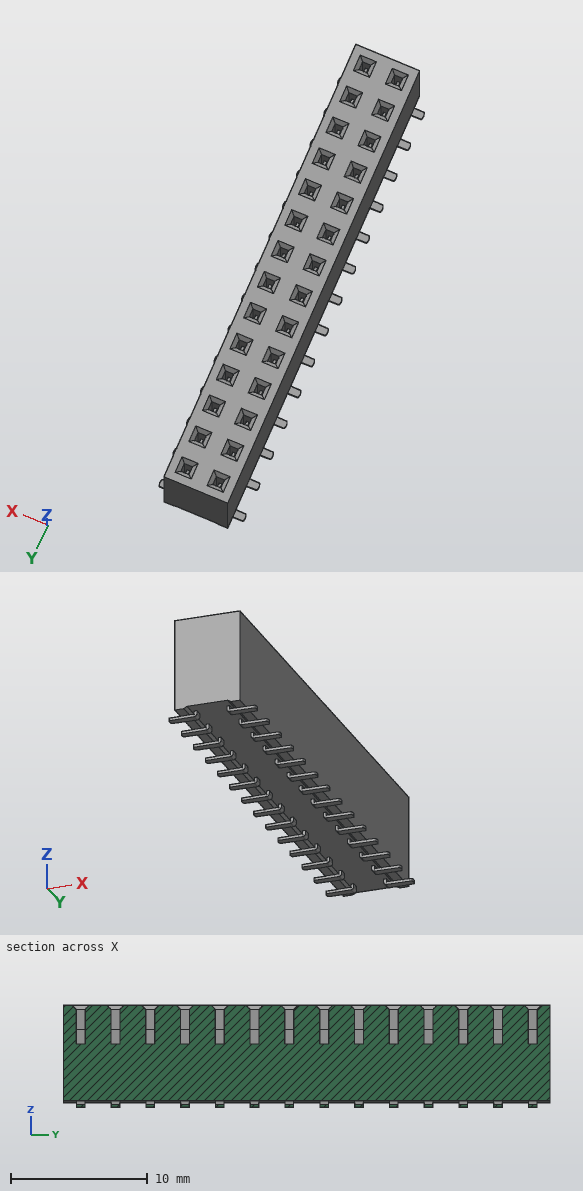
import cadquery as cq

ROWS = 14
LENGTH = 35.55
PITCH = LENGTH / ROWS
WIDTH = 2 * PITCH
HEIGHT = 7.45
FLOOR_Z = 0.45

RAIL_Z = 0.32
RAIL_FOOT_WIDTH = 0.7
RAIL_ROOT_WIDTH = 0.95

MOUTH = 1.28
THROAT = 0.65
TAPER_DEPTH = 0.32
SOCKET_DEPTH = 2.85

TAIL_SPAN = 6.8
METAL = 0.2
CONTACT_WIDTH = 0.65
BLADE_TOP_DROP = 1.78
TIP_WIDTH = 0.57
TIP_BULGE = 0.07
TIP_CORNER_RADIUS = 0.07

contact_x = PITCH / 2
row_places = [(i - (ROWS - 1) / 2) * PITCH for i in range(ROWS)]


def make_housing():
    half = WIDTH / 2
    outline = [
        (-half, HEIGHT),
        (-half, RAIL_Z),
        (-half + RAIL_FOOT_WIDTH, RAIL_Z),
        (-half + RAIL_ROOT_WIDTH, FLOOR_Z),
        (half - RAIL_ROOT_WIDTH, FLOOR_Z),
        (half - RAIL_FOOT_WIDTH, RAIL_Z),
        (half, RAIL_Z),
        (half, HEIGHT),
    ]
    return cq.Workplane("XZ").polyline(outline).close().extrude(LENGTH / 2, both=True)


def make_socket():
    taper = (
        cq.Workplane("XY").workplane(offset=HEIGHT - TAPER_DEPTH).rect(THROAT, THROAT)
        .workplane(offset=TAPER_DEPTH).rect(MOUTH, MOUTH).loft(ruled=True)
    )
    throat = (
        cq.Workplane("XY").workplane(offset=HEIGHT - SOCKET_DEPTH)
        .rect(THROAT, THROAT).extrude(SOCKET_DEPTH - TAPER_DEPTH)
    )
    return taper.union(throat)


def make_contact():
    """Contact of the +X column, its tail pointing to +X."""
    blade_inner = contact_x - METAL / 2
    blade_outer = blade_inner + METAL
    blade_top = HEIGHT - BLADE_TOP_DROP
    tail_end = TAIL_SPAN / 2
    strip = (
        cq.Workplane("XZ")
        .moveTo(blade_inner, blade_top)
        .lineTo(blade_inner, METAL)
        .radiusArc((blade_outer, 0), -METAL)
        .lineTo(tail_end, 0)
        .lineTo(tail_end, METAL)
        .lineTo(blade_outer, METAL)
        .lineTo(blade_outer, blade_top)
        .close()
        .extrude(CONTACT_WIDTH / 2, both=True)
    )
    root = CONTACT_WIDTH / 2
    tip = TIP_WIDTH / 2
    plan = (
        cq.Workplane("XY")
        .moveTo(blade_inner, -root)
        .lineTo(blade_outer, -root)
        .lineTo(tail_end - TIP_BULGE, -tip)
        .threePointArc((tail_end, 0), (tail_end - TIP_BULGE, tip))
        .lineTo(blade_outer, root)
        .lineTo(blade_inner, root)
        .close()
        .extrude(blade_top)
        .edges("|Z").edges(">X")
        .fillet(TIP_CORNER_RADIUS)
    )
    return strip.intersect(plan)


socket = make_socket().val()
right_contact = make_contact().val()
left_contact = right_contact.mirror("YZ")

sockets = []
contacts = []
for y in row_places:
    for side in (-1, 1):
        sockets.append(socket.translate(cq.Vector(side * contact_x, y, 0)))
    contacts.append(left_contact.translate(cq.Vector(0, y, 0)))
    contacts.append(right_contact.translate(cq.Vector(0, y, 0)))

connector = make_housing().val().cut(*sockets).fuse(*contacts)
result = cq.Workplane("XY").newObject([connector.Solids()[0]])